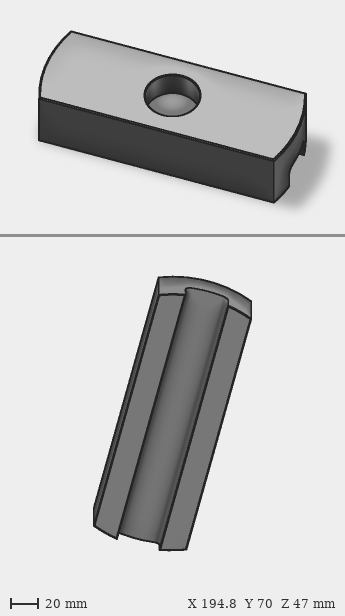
import cadquery as cq

length = 194.8
width = 70.0
height = 47.0
end_radius = 95.5
top_chamfer = 1.0
bottom_chamfer = 0.5

slot_width = 32.0
slot_depth = 19.0
slot_corner_radius = 4.7

pocket_diameter = 40.0
pocket_depth = 20.0
pocket_chamfer = 0.5


def make_block():
    """Block with flat long sides and outward-curved ends."""
    half_length = length / 2
    half_width = width / 2
    end_bulge = end_radius - (end_radius**2 - half_width**2) ** 0.5
    corner_x = half_length - end_bulge
    return (
        cq.Workplane("XY")
        .moveTo(-corner_x, -half_width)
        .lineTo(corner_x, -half_width)
        .threePointArc((half_length, 0), (corner_x, half_width))
        .lineTo(-corner_x, half_width)
        .threePointArc((-half_length, 0), (-corner_x, -half_width))
        .close()
        .extrude(height)
    )


def make_slot():
    """Full-length slot cutter with rounded upper corners."""
    cutter = cq.Workplane("XY").box(length, slot_width, slot_depth, centered=(True, True, False))
    return cutter.edges("|X and >Z").fillet(slot_corner_radius)


def cut_pocket(body):
    """Sink the round pocket into the top and bevel its mouth."""
    bored = body.faces(">Z").workplane(origin=(0, 0, 0)).hole(pocket_diameter, pocket_depth)
    smallest_radius = cq.selectors.RadiusNthSelector(0)
    mouth_edge = bored.faces(">Z").edges("%CIRCLE").edges(smallest_radius)
    return mouth_edge.chamfer(pocket_chamfer)


block = make_block().faces(">Z").chamfer(top_chamfer)
slotted = block.cut(make_slot()).faces("<Z").chamfer(bottom_chamfer)
result = cut_pocket(slotted)